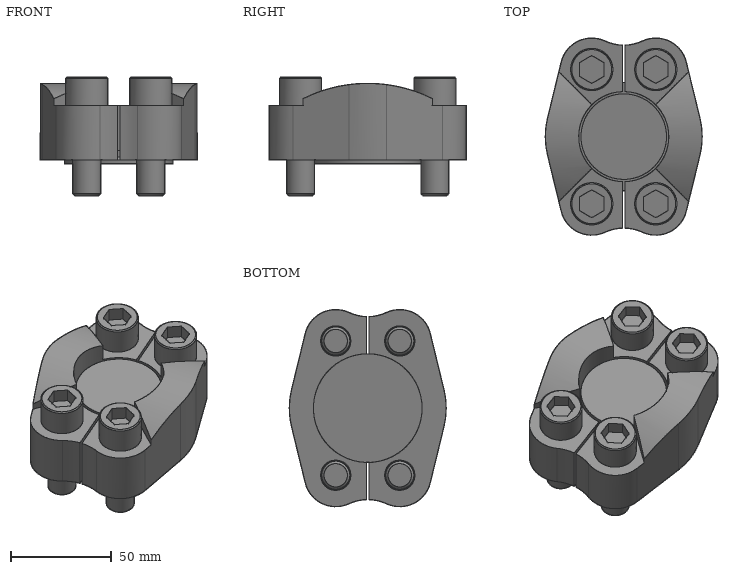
import cadquery as cq
import math

BODY_HEIGHT = 27.0
RIDGE_TOP = 38.0
RIDGE_RADIUS = 71.5
SIDE_RADIUS = 39.0
LOBE_RADIUS = 15.65
WAIST_RADIUS = 22.0
GAP = 1.0
BORE_DIAMETER = 44.75

HEAD_DIAMETER = 54.0
HEAD_BOTTOM = -2.0
HEAD_TOP = 4.65
NECK_DIAMETER = 42.5
GROOVE_HEIGHT = 1.5
GROOVE_DEPTH = 1.5

BOLT_SPACING_X = 31.8
BOLT_SPACING_Y = 66.7
BOLT_DIAMETER = 14.0
BOLT_LENGTH = 45.0
BOLT_TIP_CHAMFER = 1.2
BOLT_HEAD_DIAMETER = 21.0
BOLT_HEAD_HEIGHT = 14.0
BOLT_HEAD_CHAMFER = 0.6
SOCKET_ACROSS_FLATS = 12.0
SOCKET_DEPTH = 7.0
CLEARANCE_DIAMETER = 15.0

BOLT_X = BOLT_SPACING_X / 2
BOLT_Y = BOLT_SPACING_Y / 2


def cylinder(diameter, bottom, top):
    return cq.Workplane("XY").workplane(offset=bottom).circle(diameter / 2).extrude(top - bottom)


def at_bolts(shape):
    """Return one copy of the shape at each of the four bolt positions."""
    copies = cq.Workplane("XY")
    for x in (-BOLT_X, BOLT_X):
        for y in (-BOLT_Y, BOLT_Y):
            copies = copies.add(shape.translate((x, y, 0)))
    return copies.combine()


def side_tangent_angle():
    """Angle from +X of the normal to the straight flank between side arc and corner lobe."""
    bolt_distance = math.hypot(BOLT_X, BOLT_Y)
    bolt_angle = math.atan2(BOLT_Y, BOLT_X)
    return bolt_angle - math.acos((SIDE_RADIUS - LOBE_RADIUS) / bolt_distance)


def outline(height):
    """Extrude the closed outline of side arcs, straight flanks, corner lobes and end hollows."""
    angle = side_tangent_angle()
    nx = math.cos(angle)
    ny = math.sin(angle)
    side_x = SIDE_RADIUS * nx
    side_y = SIDE_RADIUS * ny
    flank_x = BOLT_X + LOBE_RADIUS * nx
    flank_y = BOLT_Y + LOBE_RADIUS * ny
    centre_distance = LOBE_RADIUS + WAIST_RADIUS
    waist_centre_y = BOLT_Y + math.sqrt(centre_distance**2 - BOLT_X**2)
    waist_x = BOLT_X * WAIST_RADIUS / centre_distance
    waist_y = waist_centre_y - (waist_centre_y - BOLT_Y) * WAIST_RADIUS / centre_distance
    hollow_y = waist_centre_y - WAIST_RADIUS
    lobe_top_y = BOLT_Y + LOBE_RADIUS
    return (
        cq.Workplane("XY")
        .moveTo(side_x, -side_y)
        .threePointArc((SIDE_RADIUS, 0), (side_x, side_y))
        .lineTo(flank_x, flank_y)
        .threePointArc((BOLT_X, lobe_top_y), (waist_x, waist_y))
        .threePointArc((0, hollow_y), (-waist_x, waist_y))
        .threePointArc((-BOLT_X, lobe_top_y), (-flank_x, flank_y))
        .lineTo(-side_x, side_y)
        .threePointArc((-SIDE_RADIUS, 0), (-side_x, -side_y))
        .lineTo(-flank_x, -flank_y)
        .threePointArc((-BOLT_X, -lobe_top_y), (-waist_x, -waist_y))
        .threePointArc((0, -hollow_y), (waist_x, -waist_y))
        .threePointArc((BOLT_X, -lobe_top_y), (flank_x, -flank_y))
        .close()
        .extrude(height)
    )


def ridges():
    """Raised crowns on the left and right sides, cut off by planes at 45 degrees."""
    wedges = (
        cq.Workplane("XY")
        .polyline([(0, 0), (SIDE_RADIUS, SIDE_RADIUS), (SIDE_RADIUS, -SIDE_RADIUS)])
        .close()
        .polyline([(0, 0), (-SIDE_RADIUS, SIDE_RADIUS), (-SIDE_RADIUS, -SIDE_RADIUS)])
        .close()
        .extrude(RIDGE_TOP)
    )
    crown = (
        cq.Workplane("YZ")
        .center(0, RIDGE_TOP - RIDGE_RADIUS)
        .circle(RIDGE_RADIUS)
        .extrude(SIDE_RADIUS, both=True)
    )
    return outline(RIDGE_TOP).intersect(wedges).intersect(crown)


def clamp_halves():
    """Two mirrored halves, bored and recessed for the flanged end and drilled for the screws."""
    halves = outline(BODY_HEIGHT).union(ridges())
    gap_cutter = cq.Workplane("XY").box(GAP, 2 * (BOLT_Y + LOBE_RADIUS), 2 * RIDGE_TOP)
    return (
        halves.cut(cylinder(BORE_DIAMETER, 0, RIDGE_TOP))
        .cut(cylinder(HEAD_DIAMETER, 0, HEAD_TOP))
        .cut(gap_cutter)
        .cut(at_bolts(cylinder(CLEARANCE_DIAMETER, 0, BODY_HEIGHT)))
    )


def head_groove():
    """Groove around the rim of the head with a flat roof and a sloping floor."""
    rim = HEAD_DIAMETER / 2
    return (
        cq.Workplane("XZ")
        .polyline([(rim, 0), (rim, GROOVE_HEIGHT), (rim - GROOVE_DEPTH, GROOVE_HEIGHT)])
        .close()
        .revolve(360, (0, 0), (0, 1))
    )


def flanged_end():
    """Grooved flange head with a plain neck ending level with the clamp body."""
    head = cylinder(HEAD_DIAMETER, HEAD_BOTTOM, HEAD_TOP)
    return head.cut(head_groove()).union(cylinder(NECK_DIAMETER, HEAD_BOTTOM, BODY_HEIGHT))


def bolt():
    """A socket head screw on the Z axis, its head resting on the clamp body."""
    head_top = BODY_HEIGHT + BOLT_HEAD_HEIGHT
    shank = cylinder(BOLT_DIAMETER, BODY_HEIGHT - BOLT_LENGTH, BODY_HEIGHT)
    head = cylinder(BOLT_HEAD_DIAMETER, BODY_HEIGHT, head_top)
    socket = (
        cq.Workplane("XY")
        .workplane(offset=head_top - SOCKET_DEPTH)
        .polygon(6, SOCKET_ACROSS_FLATS, circumscribed=True)
        .extrude(SOCKET_DEPTH)
    )
    return (
        shank.faces("<Z").chamfer(BOLT_TIP_CHAMFER)
        .union(head.faces(">Z").chamfer(BOLT_HEAD_CHAMFER))
        .cut(socket)
    )


result = clamp_halves().union(flanged_end()).union(at_bolts(bolt()))